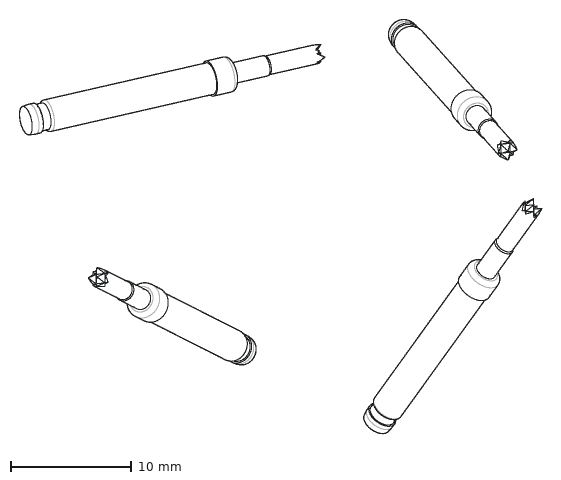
import cadquery as cq

total_length = 27.3
foot_length = 1.0
foot_rounding_length = 0.6
groove_length = 0.76
collar_back = 17.0
collar_front = 19.03
plunger_step = 22.17
plunger_step_length = 0.16

end_face_diameter = 2.43
foot_diameter = 2.57
groove_diameter = 2.3
body_diameter = 2.7
collar_diameter = 3.0
plunger_diameter = 1.75
tip_diameter = 1.6

body_rounding_length = 0.22
collar_rounding = 0.4

valley_depth = 0.65
cutter_margin = 0.27


def tangent_arc_radius(length, drop):
    """Radius of an arc that leaves a cylinder tangentially and falls by drop over length."""
    return (length**2 + drop**2) / (2 * drop)


def turned_body():
    """Solid of revolution about Y, with its rear end at Y = 0."""
    end_radius = end_face_diameter / 2
    foot_radius = foot_diameter / 2
    groove_radius = groove_diameter / 2
    body_radius = body_diameter / 2
    collar_radius = collar_diameter / 2
    plunger_radius = plunger_diameter / 2
    tip_radius = tip_diameter / 2
    body_back = foot_length + groove_length

    foot_arc_radius = tangent_arc_radius(foot_rounding_length, foot_radius - end_radius)
    body_arc_radius = tangent_arc_radius(body_rounding_length, body_radius - groove_radius)

    profile = (
        cq.Workplane("XY")
        .lineTo(end_radius, 0)
        .radiusArc((foot_radius, foot_rounding_length), -foot_arc_radius)
        .lineTo(foot_radius, foot_length)
        .lineTo(groove_radius, foot_length)
        .lineTo(groove_radius, body_back)
        .radiusArc((body_radius, body_back + body_rounding_length), -body_arc_radius)
        .lineTo(body_radius, collar_back)
        .lineTo(collar_radius, collar_back)
        .lineTo(collar_radius, collar_front - collar_rounding)
        .radiusArc((collar_radius - collar_rounding, collar_front), -collar_rounding)
        .lineTo(plunger_radius, collar_front)
        .lineTo(plunger_radius, plunger_step)
        .lineTo(tip_radius, plunger_step + plunger_step_length)
        .lineTo(tip_radius, total_length)
        .lineTo(0, total_length)
        .close()
    )
    return profile.revolve(360, (0, 0, 0), (0, 1, 0))


def valley_cutter():
    """Saw-toothed block running along Z, with ridges at the axis and at both sides of the tip."""
    tip_radius = tip_diameter / 2
    side = tip_radius + cutter_margin
    valley_bottom = total_length - valley_depth
    outline = [
        (-side, total_length),
        (-tip_radius, total_length),
        (-tip_radius / 2, valley_bottom),
        (0, total_length),
        (tip_radius / 2, valley_bottom),
        (tip_radius, total_length),
        (side, total_length),
        (side, total_length + cutter_margin),
        (-side, total_length + cutter_margin),
    ]
    return cq.Workplane("XY").polyline(outline).close().extrude(side, both=True)


cutter = valley_cutter()
crossing_cutter = cutter.rotate((0, 0, 0), (0, 1, 0), 90)
probe = turned_body().cut(cutter).cut(crossing_cutter)
result = probe.translate((0, -total_length / 2, 0))